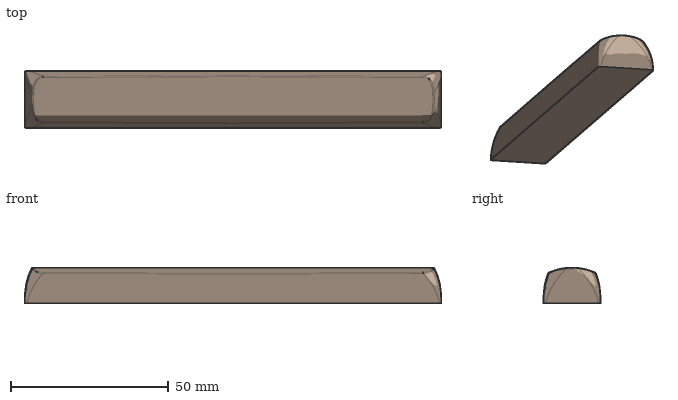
import cadquery as cq
import math

length = 132.5
width = 18.22
height = 11.38

top_inset = 2.4
inset_growth = 2.6
top_bow = 0.25

base_corner_radius = 0.7
top_corner_radius = 4.8
corner_growth = 1.3

crown_radius = 17.3
rim_radius = 0.6

section_gaps = 4
section_heights = [height * step / section_gaps for step in range(section_gaps + 1)]


def corner_point(center, radius, degrees):
    """Point on a corner arc in the given direction from the arc's centre."""
    center_x, center_y = center
    angle = math.radians(degrees)
    return (center_x + radius * math.cos(angle), center_y + radius * math.sin(angle))


def wall_section(z):
    """Rounded rectangle with bowed sides: the outline of the walls at height z."""
    rise = z / height
    inset = top_inset * rise**inset_growth
    bow = top_bow * rise
    radius = base_corner_radius + (top_corner_radius - base_corner_radius) * rise**corner_growth
    half_x = length / 2 - inset - bow
    half_y = width / 2 - inset - bow
    center_x = half_x - radius
    center_y = half_y - radius

    sides = (
        ((half_x, -center_y), (half_x + bow, 0), (half_x, center_y), (center_x, center_y), 45),
        ((center_x, half_y), (0, half_y + bow), (-center_x, half_y), (-center_x, center_y), 135),
        ((-half_x, center_y), (-half_x - bow, 0), (-half_x, -center_y), (-center_x, -center_y), 225),
        ((-center_x, -half_y), (0, -half_y - bow), (center_x, -half_y), (center_x, -center_y), 315),
    )
    outline = cq.Workplane("XY", origin=(0, 0, z)).moveTo(*sides[0][0])
    for index, (_, middle, end, center, degrees) in enumerate(sides):
        next_start = sides[(index + 1) % len(sides)][0]
        if bow > 0:
            outline = outline.threePointArc(middle, end)
        else:
            outline = outline.lineTo(*end)
        outline = outline.threePointArc(corner_point(center, radius, degrees), next_start)
    return outline.close().val()


def make_walls():
    """Block with leaning, bowed walls and a flat top at full height."""
    return cq.Workplane(cq.Solid.makeLoft([wall_section(z) for z in section_heights]))


def make_crown():
    """Long cylinder whose highest line is the top of the part."""
    crown_center_z = height - crown_radius
    circle = cq.Workplane("YZ").center(0, crown_center_z).circle(crown_radius)
    return circle.extrude(length, both=True)


def round_rim(body):
    """Fillet every edge that the crown shares with the walls."""
    return body.faces(">Z").edges().fillet(rim_radius)


result = round_rim(make_walls().intersect(make_crown()))